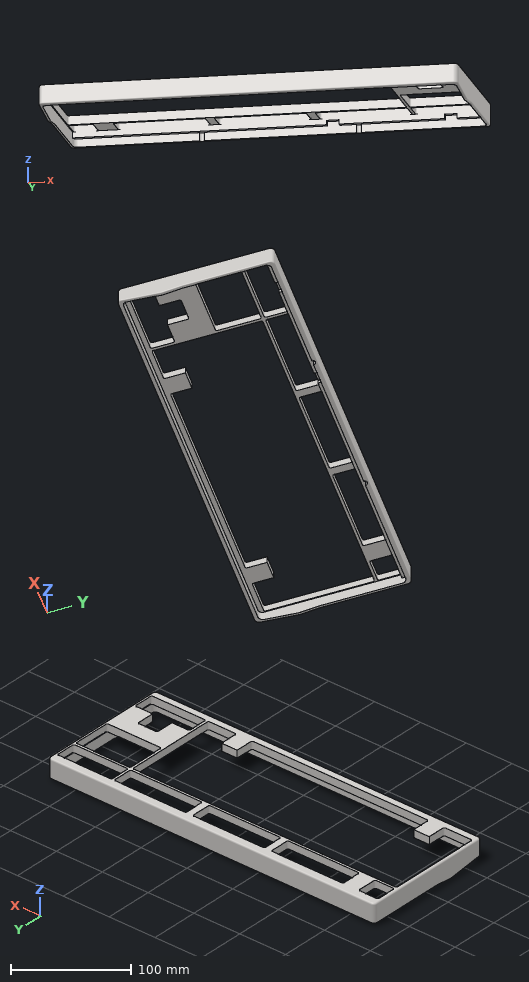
import cadquery as cq

KEY = 19.05
CLEARANCE = 1.0
BLOCK_GAP = KEY / 4
MAIN_UNITS = 15
MAIN_ROWS = 5
NAV_UNITS = 3
FUNCTION_GROUPS = ((0, 1), (2, 4), (6.5, 4), (11, 4))
BLOCKER_COLUMNS = (1.5, 12.5)

LENGTH = 356.61
WIDTH = 138.01
HEIGHT = 21.88
CORNER_RADIUS = 4.0
TOP_FILLET = 2.0
BOTTOM_FILLET = 1.0
OPENING_RADIUS = 1.5

FRONT_HEIGHT = 17.05
REAR_HEIGHT = 20.05
PEAK_FROM_FRONT = 39.0
FLAT_FROM_FRONT = 57.0

PLATE_THICKNESS = 8.0
SIDE_WALL = 2.7
END_WALL = 4.0
CAVITY_RADIUS = 4.0
REAR_LEDGE_THICKNESS = 13.0

SCREW_NOTCH_RADIUS = 2.2
SCREW_NOTCH_X = 66.6
LEDGE_NOTCH_WIDTH = 10.5
LEDGE_NOTCH_LEFTS = (40.1, 140.3)
LEDGE_NOTCH_DEPTH = 9.3

GRID_X = -((MAIN_UNITS + NAV_UNITS) * KEY + BLOCK_GAP) / 2
GRID_Y = -((MAIN_ROWS + 1) * KEY + BLOCK_GAP) / 2
NAV_X = MAIN_UNITS * KEY + BLOCK_GAP
FUNCTION_ROW_Y = MAIN_ROWS * KEY + BLOCK_GAP
UPPER_NAV_Y = 3 * KEY

FRONT = -WIDTH / 2
REAR = WIDTH / 2
REAR_WALL_Y = REAR - END_WALL
LEDGE_FRONT_Y = -GRID_Y + CLEARANCE


def outer_body():
    """Solid block with the peaked underside and all outer edges rounded."""
    block = (
        cq.Workplane("YZ")
        .polyline([
            (FRONT, 0),
            (FRONT, -FRONT_HEIGHT),
            (FRONT + PEAK_FROM_FRONT, -HEIGHT),
            (FRONT + FLAT_FROM_FRONT, -REAR_HEIGHT),
            (REAR, -REAR_HEIGHT),
            (REAR, 0),
        ])
        .close()
        .extrude(LENGTH / 2, both=True)
        .edges("|Z").fillet(CORNER_RADIUS)
        .faces(">Z").edges().fillet(TOP_FILLET)
    )
    underside = cq.selectors.BoxSelector(
        (-LENGTH, -WIDTH, -2 * HEIGHT),
        (LENGTH, WIDTH, -FRONT_HEIGHT + BOTTOM_FILLET),
    )
    return block.edges(underside).edges("not |X").fillet(BOTTOM_FILLET)


def hollow():
    """Recess below the plate; it is shallower under the thick ledge along the rear edge."""
    recess = (
        cq.Workplane("XY")
        .workplane(offset=-PLATE_THICKNESS)
        .rect(LENGTH - 2 * SIDE_WALL, WIDTH - 2 * END_WALL)
        .extrude(-HEIGHT)
        .edges("|Z").fillet(CAVITY_RADIUS)
    )
    ledge = (
        cq.Workplane("XY")
        .box(LENGTH, WIDTH, REAR_LEDGE_THICKNESS, centered=(True, False, False))
        .translate((0, LEDGE_FRONT_Y, -REAR_LEDGE_THICKNESS))
    )
    return recess.cut(ledge)


def screw_notches():
    """Half-round reliefs cut into the inner face of the rear wall."""
    return (
        cq.Workplane("XY")
        .workplane(offset=-REAR_LEDGE_THICKNESS)
        .pushPoints([(-SCREW_NOTCH_X, REAR_WALL_Y), (SCREW_NOTCH_X, REAR_WALL_Y)])
        .circle(SCREW_NOTCH_RADIUS)
        .extrude(-HEIGHT)
    )


def ledge_notch(left):
    """Rectangular pocket raised into the rear ledge."""
    return (
        cq.Workplane("XY")
        .box(
            LEDGE_NOTCH_WIDTH,
            REAR_WALL_Y - LEDGE_FRONT_Y,
            REAR_LEDGE_THICKNESS - LEDGE_NOTCH_DEPTH,
            centered=False,
        )
        .translate((left, LEDGE_FRONT_Y, -REAR_LEDGE_THICKNESS))
    )


def key_opening(x, y, columns, rows):
    """Round-cornered opening for a group of keys whose lower-left corner is at grid offset (x, y)."""
    return (
        cq.Workplane("XY")
        .box(
            columns * KEY + 2 * CLEARANCE,
            rows * KEY + 2 * CLEARANCE,
            2 * HEIGHT,
            centered=(False, False, True),
        )
        .edges("|Z").fillet(OPENING_RADIUS)
        .translate((GRID_X + x - CLEARANCE, GRID_Y + y - CLEARANCE, 0))
    )


def main_opening():
    """Opening of the main key block, less the tabs that cover two key places."""
    opening = key_opening(0, 0, MAIN_UNITS, MAIN_ROWS)
    for column in BLOCKER_COLUMNS:
        tab = (
            cq.Workplane("XY")
            .box(KEY - 2 * CLEARANCE, KEY, 2 * HEIGHT, centered=(False, False, True))
            .translate((GRID_X + column * KEY + CLEARANCE, GRID_Y - CLEARANCE, 0))
        )
        tab_roots = cq.selectors.BoxSelector(
            (GRID_X + column * KEY, GRID_Y - 2 * CLEARANCE, -HEIGHT),
            (GRID_X + (column + 1) * KEY, GRID_Y, HEIGHT),
        )
        opening = opening.cut(tab).edges(tab_roots).edges("|Z").fillet(OPENING_RADIUS)
    return opening


def arrow_opening():
    """Inverted-T opening for the arrow keys."""
    bottom_row = key_opening(NAV_X, 0, NAV_UNITS, 1)
    return bottom_row.union(key_opening(NAV_X + KEY, 0, 1, 2))


result = outer_body().cut(hollow()).cut(screw_notches())
for notch_left in LEDGE_NOTCH_LEFTS:
    result = result.cut(ledge_notch(notch_left))
result = result.cut(main_opening()).cut(arrow_opening())
for start, count in FUNCTION_GROUPS:
    result = result.cut(key_opening(start * KEY, FUNCTION_ROW_Y, count, 1))
result = result.cut(key_opening(NAV_X, FUNCTION_ROW_Y, NAV_UNITS, 1))
result = result.cut(key_opening(NAV_X, UPPER_NAV_Y, NAV_UNITS, 2))